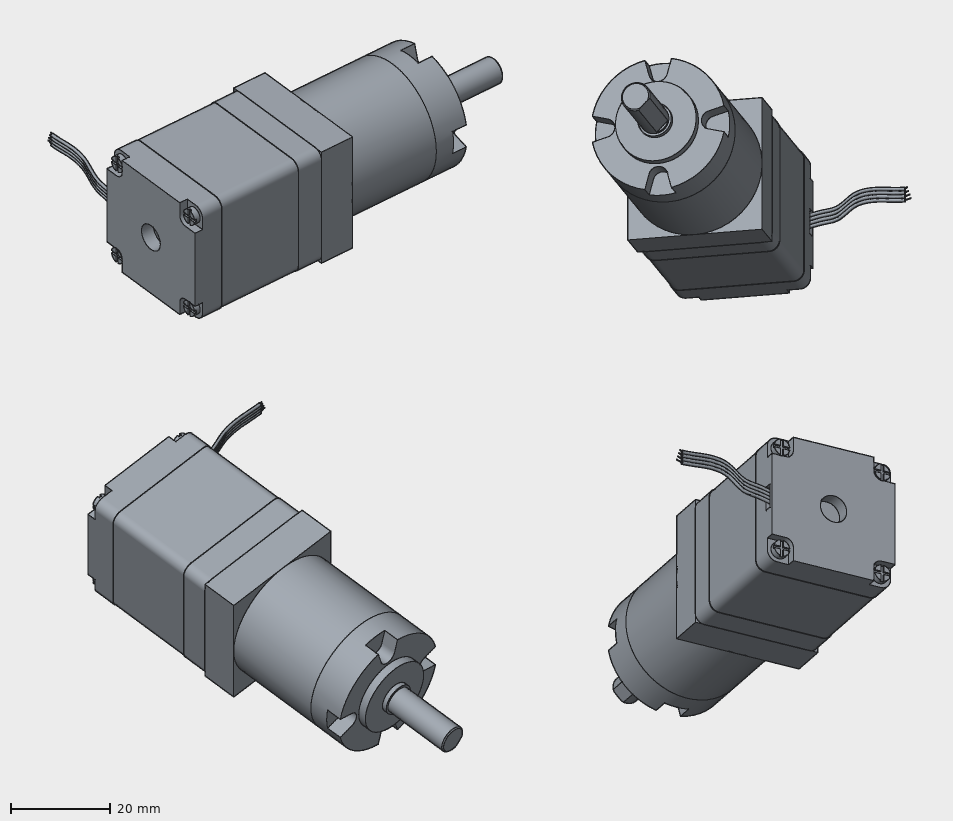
import cadquery as cq
import math

REAR_CAP_END = 7.1
STATOR_END = 27.0
MOTOR_END = 33.0
ADAPTER_END = 41.2
RING_END = 63.0
CAP_END = 71.1
BOSS_END = 72.9
COLLAR_END = 74.0
FLAT_START = 74.55
SHAFT_END = 89.5

MOTOR_WIDTH = 28.2
MOTOR_CORNER_RADIUS = 2.2
STATOR_INSET = 0.13
REAR_HOLE_DIAMETER = 6.0
REAR_HOLE_DEPTH = 3.0

SCREW_SPACING = 23.0
POCKET_DEPTH = 2.0
POCKET_INNER = 9.2
POCKET_RADIUS = 1.8
HEAD_RADIUS = 1.8
HEAD_HEIGHT = 1.4
CROSS_WIDTH = 0.6
CROSS_DEPTH = 0.45

SLOT_HEIGHT = 5.3
SLOT_WIDTH = 1.7
SLOT_DEPTH = 1.0
CABLE_Y = 1.8
WIRE_COUNT = 4
WIRE_PITCH = 0.8
WIRE_RADIUS = 0.38
CORE_RADIUS = 0.1
CORE_RISE = 0.4
SHORTEST_CORE = 0.45
CORE_STEP = 0.3
CABLE_END_X = -33.7
CABLE_END_Z = 4.3
CABLE_ROOT_Z = 0.1
CABLE_ROOT_SLOPE = 0.25

GEARBOX_WIDTH = 28.0
GEARBOX_RADIUS = GEARBOX_WIDTH / 2
BOSS_RADIUS = 8.4
COLLAR_RADIUS = 3.5
SHAFT_DIAMETER = 6.0
SHAFT_RADIUS = SHAFT_DIAMETER / 2
SHAFT_CHAMFER = 0.3
SHAFT_FLAT_OFFSET = SHAFT_RADIUS * 5 / 6
SHAFT_FLAT_ANGLE = 45

NOTCH_COUNT = 4
NOTCH_DEPTH = 3.6
NOTCH_CENTRE = 11.0
NOTCH_RADIUS = 2.0
NOTCH_OVERRUN = 0.9
NOTCH_FLARE = 15


def section(y):
    """Workplane across the axis at y, with local x along X and local y along Z; it faces -Y."""
    return cq.Workplane(cq.Plane(origin=(0, y, 0), xDir=(1, 0, 0), normal=(0, -1, 0)))


def square_bar(width, start, end):
    return section(start).rect(width, width).extrude(start - end)


def round_bar(radius, start, end):
    return section(start).circle(radius).extrude(start - end)


def rounded_bar(width, corner_radius, start, end):
    return square_bar(width, start, end).edges("|Y").fillet(corner_radius)



def corner_pocket():
    """Cutter for the pocket at the +X, +Z corner, open to both outer sides."""
    size = MOTOR_WIDTH / 2
    centre = POCKET_INNER + size / 2
    block = section(0).center(centre, centre).rect(size, size).extrude(-POCKET_DEPTH)
    return block.edges("|Y and <X and <Z").fillet(POCKET_RADIUS)


def corner_screw():
    """Screw head with a cross slot, standing on the floor of the +X, +Z pocket."""
    top = POCKET_DEPTH - HEAD_HEIGHT
    head = round_bar(HEAD_RADIUS, top, POCKET_DEPTH)
    cross = (
        section(top)
        .rect(2 * HEAD_RADIUS, CROSS_WIDTH)
        .extrude(-CROSS_DEPTH)
        .union(section(top).rect(CROSS_WIDTH, 2 * HEAD_RADIUS).extrude(-CROSS_DEPTH))
    )
    return head.cut(cross).translate((SCREW_SPACING / 2, 0, SCREW_SPACING / 2))


def cable_wire(index):
    """One insulated wire with its bare core; index 0 is the lowest wire."""
    offset = (index - (WIRE_COUNT - 1) / 2) * WIRE_PITCH
    start_x = SLOT_DEPTH - MOTOR_WIDTH / 2
    bends = [
        (start_x, CABLE_ROOT_Z),
        (-16.4, 0.8),
        (-19.6, 1.4),
        (-23.2, 3.9),
        (-26.7, 4.7),
        (CABLE_END_X, CABLE_END_Z),
    ]
    plane = cq.Plane(origin=(0, CABLE_Y, offset), xDir=(1, 0, 0), normal=(0, -1, 0))
    path = cq.Workplane(plane).spline(bends, tangents=[(-1, CABLE_ROOT_SLOPE), (-1, 0)])
    start = cq.Plane(
        origin=(start_x, CABLE_Y, CABLE_ROOT_Z + offset),
        normal=(-1, 0, CABLE_ROOT_SLOPE),
    )
    wire = cq.Workplane(start).circle(WIRE_RADIUS).sweep(path)

    core_length = SHORTEST_CORE + (WIRE_COUNT - 1 - index) * CORE_STEP
    root = cq.Vector(CABLE_END_X, CABLE_Y, CABLE_END_Z + offset)
    direction = cq.Vector(-core_length, 0, CORE_RISE)
    core = cq.Solid.makeCylinder(CORE_RADIUS, direction.Length, root, direction)
    return wire.union(cq.Workplane(core))


def build_motor():
    stator_width = MOTOR_WIDTH - 2 * STATOR_INSET
    stator_corner = MOTOR_CORNER_RADIUS - STATOR_INSET
    motor = (
        rounded_bar(MOTOR_WIDTH, MOTOR_CORNER_RADIUS, 0, REAR_CAP_END)
        .union(rounded_bar(stator_width, stator_corner, REAR_CAP_END, STATOR_END))
        .union(rounded_bar(MOTOR_WIDTH, MOTOR_CORNER_RADIUS, STATOR_END, MOTOR_END))
        .cut(round_bar(REAR_HOLE_DIAMETER / 2, 0, REAR_HOLE_DEPTH))
    )
    for angle in (0, 90, 180, 270):
        motor = motor.cut(corner_pocket().rotate((0, 0, 0), (0, 1, 0), angle))
        motor = motor.union(corner_screw().rotate((0, 0, 0), (0, 1, 0), angle))

    slot = cq.Workplane("XY").box(2 * SLOT_DEPTH, SLOT_WIDTH, SLOT_HEIGHT)
    motor = motor.cut(slot.translate((-MOTOR_WIDTH / 2, CABLE_Y, 0)))
    for index in range(WIRE_COUNT):
        motor = motor.union(cable_wire(index))
    return motor



def build_adapter():
    return square_bar(GEARBOX_WIDTH, MOTOR_END, ADAPTER_END)


def build_ring():
    return round_bar(GEARBOX_RADIUS, ADAPTER_END, RING_END)


def rim_notch():
    """Cutter for the notch on the +X side: a round end with walls flaring out past the rim."""
    flare = math.radians(NOTCH_FLARE)
    tangent_x = NOTCH_CENTRE - NOTCH_RADIUS * math.sin(flare)
    tangent_z = NOTCH_RADIUS * math.cos(flare)
    mouth_x = GEARBOX_RADIUS + NOTCH_OVERRUN
    mouth_z = tangent_z + (mouth_x - tangent_x) * math.tan(flare)
    return (
        section(CAP_END)
        .moveTo(mouth_x, mouth_z)
        .lineTo(tangent_x, tangent_z)
        .threePointArc((NOTCH_CENTRE - NOTCH_RADIUS, 0), (tangent_x, -tangent_z))
        .lineTo(mouth_x, -mouth_z)
        .close()
        .extrude(NOTCH_DEPTH)
    )


def output_shaft():
    shaft = round_bar(SHAFT_RADIUS, COLLAR_END, SHAFT_END).faces(">Y").chamfer(SHAFT_CHAMFER)
    flat = (
        section(FLAT_START)
        .center(-SHAFT_FLAT_OFFSET - SHAFT_RADIUS, 0)
        .rect(2 * SHAFT_RADIUS, 2 * SHAFT_RADIUS)
        .extrude(FLAT_START - SHAFT_END)
        .rotate((0, 0, 0), (0, 1, 0), -SHAFT_FLAT_ANGLE)
    )
    return shaft.cut(flat)


def build_output_cap():
    cap = round_bar(GEARBOX_RADIUS, RING_END, CAP_END)
    for index in range(NOTCH_COUNT):
        angle = index * 360 / NOTCH_COUNT
        cap = cap.cut(rim_notch().rotate((0, 0, 0), (0, 1, 0), angle))
    return (
        cap.union(round_bar(BOSS_RADIUS, CAP_END, BOSS_END))
        .union(round_bar(COLLAR_RADIUS, BOSS_END, COLLAR_END))
        .union(output_shaft())
    )


motor = build_motor()
adapter = build_adapter()
ring = build_ring()
output_cap = build_output_cap()

result = cq.Compound.makeCompound([motor.val(), adapter.val(), ring.val(), output_cap.val()])